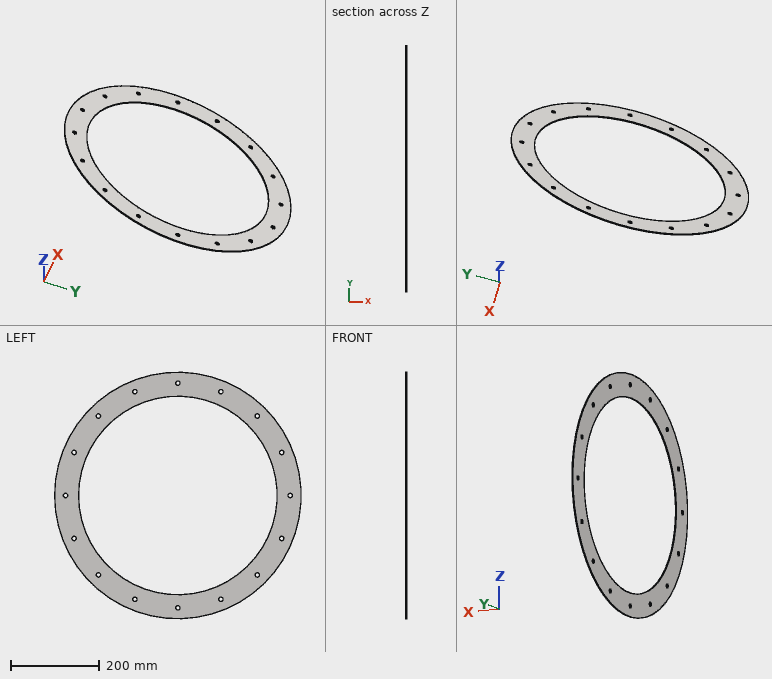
import cadquery as cq

outer_diameter = 560.0
inner_diameter = 450.0
thickness = 3.0

bolt_circle_diameter = 510.0
bolt_hole_diameter = 9.5
bolt_hole_count = 16


def make_ring():
    """Plain flat annulus extruded along +X."""
    return (
        cq.Workplane("YZ")
        .circle(outer_diameter / 2)
        .circle(inner_diameter / 2)
        .extrude(thickness)
    )


def make_bolt_holes():
    """Cylinders that cut the bolt holes through the full thickness."""
    return (
        cq.Workplane("YZ")
        .polarArray(bolt_circle_diameter / 2, 0, 360, bolt_hole_count)
        .circle(bolt_hole_diameter / 2)
        .extrude(thickness)
    )


result = make_ring().cut(make_bolt_holes())